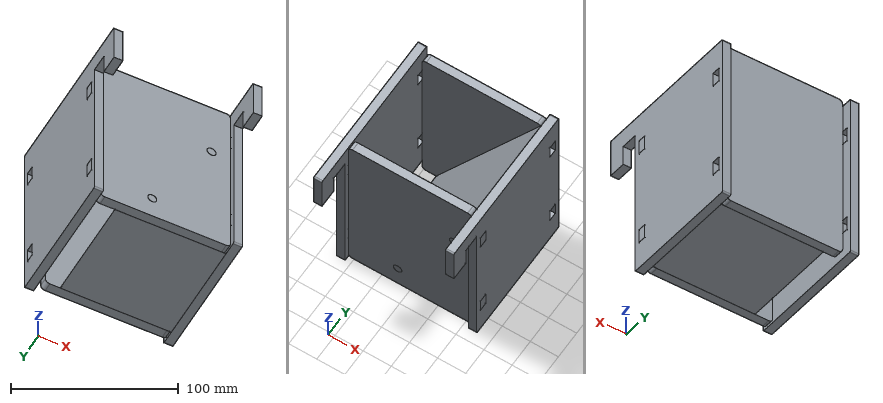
import cadquery as cq

total_width = 100.0
height = 120.0
plate_depth = 90.0
thickness = 6.0

hook_reach = 25.0
hook_section = 13.0
hook_drop = 27.0
plate_corner_radius = 1.0

panel_inset = 4.0
slot_height = 10.0
slot_margin = 20.0

panel_corner_radius = 3.0
back_panel_gap = 3.0

wedge_width = 75.0
pin_diameter = 6.0
lower_pin_x = 41.0
lower_pin_z = 16.0
pin_spacing_x = 40.0

inner_left = thickness
inner_right = total_width - thickness
front_panel_y = panel_inset
back_panel_y = plate_depth - panel_inset - thickness
wedge_front = front_panel_y + thickness
slot_bottoms = [slot_margin, height - slot_margin - slot_height]
wedge_slope = height / wedge_width
pin_centers = [
    (lower_pin_x, lower_pin_z),
    (lower_pin_x + pin_spacing_x, lower_pin_z + wedge_slope * pin_spacing_x),
]


def block(x, y, z, size_x, size_y, size_z):
    """Box with its lowest corner at (x, y, z)."""
    return cq.Workplane("XY").box(size_x, size_y, size_z, centered=False).translate((x, y, z))


def make_side_plate(x):
    """Hooked plate with four through slots, its left face at x."""
    outline = [
        (0, 0),
        (plate_depth, 0),
        (plate_depth, height),
        (-hook_reach, height),
        (-hook_reach, height - hook_drop),
        (hook_section - hook_reach, height - hook_drop),
        (hook_section - hook_reach, height - hook_section),
        (0, height - hook_section),
    ]
    plate = cq.Workplane("YZ", origin=(x, 0, 0)).polyline(outline).close().extrude(thickness)
    plate = plate.edges("|X and (>Y or (<Y and >Z) or <Z)").fillet(plate_corner_radius)
    for y in (front_panel_y, back_panel_y):
        for z in slot_bottoms:
            plate = plate.cut(block(x, y, z, thickness, thickness, slot_height))
    return plate


def make_panel(left, y):
    """Rounded panel from left to the right side plate, its front face at y."""
    panel = block(left, y, 0, inner_right - left, thickness, height)
    return panel.edges("|Y").fillet(panel_corner_radius)


def make_pins():
    """Two cylinders that cross the front panel, flush with its front face."""
    pin_plane = cq.Workplane("XZ", origin=(0, wedge_front, 0))
    return pin_plane.pushPoints(pin_centers).circle(pin_diameter / 2).extrude(thickness)


def make_front_panel():
    """Panel with tabs in both side plates and holes for the wedge's pins."""
    panel = make_panel(inner_left, front_panel_y)
    for z in slot_bottoms:
        for x in (0, inner_right):
            panel = panel.union(block(x, front_panel_y, z, thickness, thickness, slot_height))
    return panel.cut(make_pins())


def make_back_panel():
    """Plain panel that stops short of the left side plate."""
    return make_panel(inner_left + back_panel_gap, back_panel_y)


def make_wedge():
    """Triangular block against the right side plate, with pins on its front end."""
    profile = [
        (inner_right - wedge_width, 0),
        (inner_right, 0),
        (inner_right, height),
    ]
    wedge_length = back_panel_y - wedge_front
    wedge = cq.Workplane("XZ", origin=(0, back_panel_y, 0)).polyline(profile).close().extrude(wedge_length)
    return wedge.union(make_pins())


side_plates = [make_side_plate(x) for x in (0, inner_right)]
front_panel = make_front_panel()
back_panel = make_back_panel()
wedge = make_wedge()

result = cq.Compound.makeCompound([
    *[plate.val() for plate in side_plates],
    front_panel.val(),
    back_panel.val(),
    wedge.val(),
])